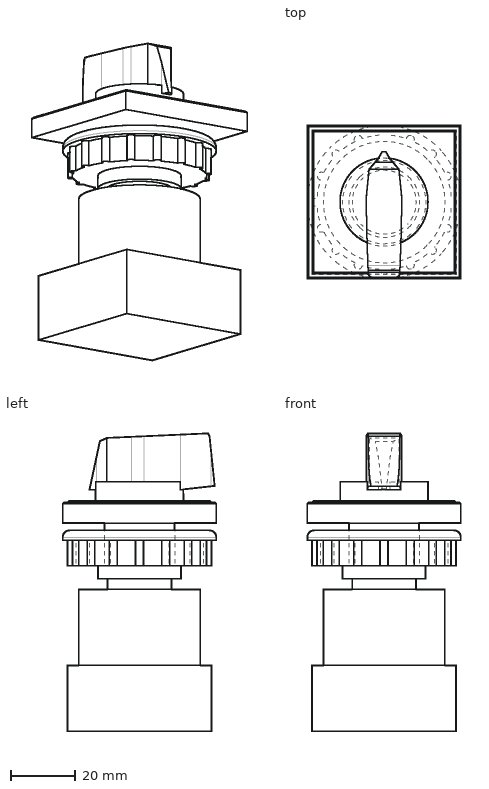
import cadquery as cq

BASE_TOP = 20.6
BARREL_TOP = 44.3
NECK_TOP = 47.6
NUT_BOTTOM = 51.7
FLANGE_BOTTOM = 59.6
FLANGE_TOP = 62.8
PLATE_BOTTOM = 65.0
PLATE_RIM_TOP = 71.5
PLATE_TOP = 72.0
BOSS_TOP = 78.0
HANDLE_TOP = 93.0

BASE_SIZE = 45.0
BARREL_DIAMETER = 38.0

NECK_DIAMETER = 20.0
COLLAR_DIAMETER = 26.0

STEM_DIAMETER = 22.0
NUT_DIAMETER = 42.03
RIB_COUNT = 16
RIB_DIAMETER = 2.5
RIB_CIRCLE_RADIUS = 21.25
FLANGE_DIAMETER = 48.0
FLANGE_ROUNDING = 2.2

PLATE_SIZE = 48.0
PANEL_SIZE = 44.8
PLATE_CHAMFER = 0.5

BOSS_DIAMETER = 27.5
TIP_Y = 15.65
TIP_HALF_WIDTH = 0.6
POINTER_Y = 13.5
POINTER_HALF_WIDTH = 1.8
SHOULDER_Y = 10.2
SHOULDER_HALF_WIDTH = 4.65
BULGE_FRONT_Y = 2.5
BULGE_FRONT_HALF_WIDTH = 5.43
BULGE_MIDDLE_Y = 0.4
BULGE_HALF_WIDTH = 5.55
BULGE_BACK_Y = -1.4
BULGE_BACK_HALF_WIDTH = 5.53
OVERHANG_HALF_WIDTH = 5.28
CORNER_Y = -22.2
CORNER_HALF_WIDTH = 4.93
END_Y = -23.5
END_HALF_WIDTH = 4.1

GRIP_BOTTOM = 75.4
TIP_SLOPE_Y = 12.4
TIP_SLOPE_TOP = 90.6
SHOULDER_TOP = 91.65
CREST_FRONT_Y = -19.8
CREST_BACK_Y = -21.4
END_FACE_TOP_Y = -21.9
END_FACE_TOP = 92.2
OVERHANG_Y = -12.7
END_BOTTOM = 76.6

def disc(diameter, bottom, top):
    """Upright cylinder on the Z axis between two heights."""
    return cq.Workplane("XY").workplane(offset=bottom).circle(diameter / 2).extrude(top - bottom)

def square_block(size, bottom, top):
    """Square block centred on the Z axis between two heights."""
    return cq.Workplane("XY").workplane(offset=bottom).rect(size, size).extrude(top - bottom)

def make_switch_block():
    base = square_block(BASE_SIZE, 0, BASE_TOP)
    return base.union(disc(BARREL_DIAMETER, BASE_TOP, BARREL_TOP))

def make_coupling():
    neck = disc(NECK_DIAMETER, BARREL_TOP, NECK_TOP)
    return neck.union(disc(COLLAR_DIAMETER, NECK_TOP, NUT_BOTTOM))

def make_stem():
    return disc(STEM_DIAMETER, NUT_BOTTOM, PLATE_BOTTOM)

def make_nut():
    """Ring nut with round grip ribs, bored for the stem."""
    ribs = (
        cq.Workplane("XY")
        .workplane(offset=NUT_BOTTOM)
        .polarArray(RIB_CIRCLE_RADIUS, 0, 360, RIB_COUNT)
        .circle(RIB_DIAMETER / 2)
        .extrude(FLANGE_BOTTOM - NUT_BOTTOM)
    )
    return disc(NUT_DIAMETER, NUT_BOTTOM, FLANGE_BOTTOM).union(ribs).cut(make_stem())

def make_flange_ring():
    """Flange with a rounded upper rim, bored for the stem."""
    ring = disc(FLANGE_DIAMETER, FLANGE_BOTTOM, FLANGE_TOP)
    return ring.faces(">Z").edges().fillet(FLANGE_ROUNDING).cut(make_stem())

def make_front_plate():
    """Square plate whose rim and raised panel both have chamfered upper edges."""
    rim = square_block(PLATE_SIZE, PLATE_BOTTOM, PLATE_RIM_TOP).faces(">Z").chamfer(PLATE_CHAMFER)
    panel = square_block(PANEL_SIZE, PLATE_BOTTOM, PLATE_TOP).faces(">Z").chamfer(PLATE_CHAMFER)
    return rim.union(panel)

def make_handle():
    """Pointer grip, shaped by its plan outline and side profile, on a round boss."""
    plan = (
        cq.Workplane("XY")
        .workplane(offset=GRIP_BOTTOM)
        .moveTo(0, TIP_Y)
        .lineTo(TIP_HALF_WIDTH, TIP_Y)
        .lineTo(POINTER_HALF_WIDTH, POINTER_Y)
        .lineTo(SHOULDER_HALF_WIDTH, SHOULDER_Y)
        .lineTo(BULGE_FRONT_HALF_WIDTH, BULGE_FRONT_Y)
        .threePointArc((BULGE_HALF_WIDTH, BULGE_MIDDLE_Y), (BULGE_BACK_HALF_WIDTH, BULGE_BACK_Y))
        .lineTo(OVERHANG_HALF_WIDTH, OVERHANG_Y)
        .lineTo(CORNER_HALF_WIDTH, CORNER_Y)
        .tangentArcPoint((END_HALF_WIDTH, END_Y), relative=False)
        .lineTo(0, END_Y)
        .mirrorY()
        .extrude(HANDLE_TOP - GRIP_BOTTOM)
    )
    side = (
        cq.Workplane("YZ")
        .polyline(
            [
                (TIP_Y, GRIP_BOTTOM),
                (TIP_SLOPE_Y, TIP_SLOPE_TOP),
                (SHOULDER_Y, SHOULDER_TOP),
                (CREST_FRONT_Y, HANDLE_TOP),
                (CREST_BACK_Y, HANDLE_TOP),
                (END_FACE_TOP_Y, END_FACE_TOP),
                (END_Y, END_BOTTOM),
                (OVERHANG_Y, GRIP_BOTTOM),
            ]
        )
        .close()
        .extrude(BULGE_HALF_WIDTH * 2, both=True)
    )
    return disc(BOSS_DIAMETER, PLATE_TOP, BOSS_TOP).union(plan.intersect(side))

switch_block = make_switch_block()
coupling = make_coupling()
stem = make_stem()
nut = make_nut()
flange_ring = make_flange_ring()
front_plate = make_front_plate()
handle = make_handle()

bodies = [switch_block, coupling, stem, nut, flange_ring, front_plate, handle]
result = cq.Compound.makeCompound([body.solids().val() for body in bodies])